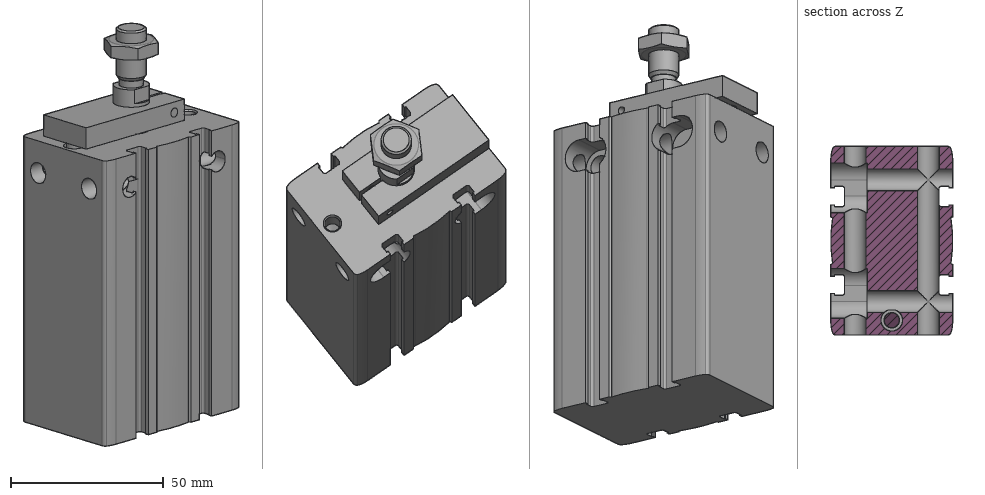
import cadquery as cq
import math

total_height = 133.0
housing_height = 98.0
plate_gap = 2.0
plate_bottom = housing_height + plate_gap

housing_width = 40.0
housing_length = 62.0
half_width = housing_width / 2
half_length = housing_length / 2
end_face_half_width = 18.1
corner_x = 19.4
corner_y = 30.2
flank_end_y = 26.6
panel_half_length = 6.9
panel_bulge = 0.5
groove_width = 0.9
groove_depth = 0.7

slot_y = 14.5
slot_mouth = 5.6
slot_mouth_depth = 1.3
slot_width = 6.6
slot_depth = 4.5
slot_corner_radius = 0.8

mount_drop = 11.0
mount_z = housing_height - mount_drop
mount_hole_diameter = 7.0
mount_x = 12.0
mount_y = 20.0
seat_width = 10.9
seat_stretch = 5.3
seat_depth = 12.0

port_y = 26.1
port_mouth_diameter = 6.0
port_diameter = 5.0
port_depth = 6.6
drill_point_angle = 118.0

plate_width = 20.0
plate_length = 45.1
plate_thickness = 7.3
plate_back_y = 14.6
plate_slit = 1.0
guide_post_diameter = 5.0
guide_post_y = -port_y
guide_depth = 13.3
guide_hole_diameter = 7.0

clamp_screw_y = 10.0
clamp_screw_z = plate_bottom + plate_thickness / 2
clamp_screw_diameter = 3.0
clamp_screw_length = 16.0
clamp_hole_diameter = 2.4

rod_diameter = 12.0
rod_shoulder_z = 113.3
flats_across = 10.0
flats_height = 4.8
neck_diameter = 8.0
thread_bottom_z = 115.7
thread_diameter = 10.0
thread_end_diameter = 8.5
thread_run_in = 1.2
tip_chamfer = 0.5

nut_across_flats = 16.0
nut_thickness = 4.9
nut_top_z = 128.9
nut_face_diameter = 14.6
nut_chamfer_height = 0.5


def side_arc_midpoint(start_y, end_y, drop):
    """Middle of an arc that is tangent to the +X side at start_y and lies drop below it at end_y."""
    run = end_y - start_y
    radius = (run**2 + drop**2) / (2 * drop)
    half_angle = math.asin(run / radius) / 2
    return (
        half_width - radius * (1 - math.cos(half_angle)),
        start_y + radius * math.sin(half_angle),
    )


def housing_block():
    """Extrusion of one quarter of the profile mirrored across X and Y."""
    flank_drop = half_width - corner_x
    flank_midpoint = side_arc_midpoint(flank_end_y, corner_y, flank_drop)
    panel_midpoint = side_arc_midpoint(0, panel_half_length, panel_bulge)
    return (
        cq.Workplane("XY")
        .moveTo(0, half_length)
        .lineTo(end_face_half_width, half_length)
        .tangentArcPoint((corner_x, corner_y), relative=False)
        .threePointArc(flank_midpoint, (half_width, flank_end_y))
        .lineTo(half_width, panel_half_length + groove_width)
        .lineTo(half_width - groove_depth, panel_half_length + groove_width / 2)
        .lineTo(half_width - panel_bulge, panel_half_length)
        .threePointArc(panel_midpoint, (half_width, 0))
        .mirrorX()
        .mirrorY()
        .extrude(housing_height)
    )


def switch_slot(side, y):
    chamber_depth = slot_depth - slot_mouth_depth
    chamber_x = half_width - slot_mouth_depth - chamber_depth / 2
    floor_selector = "|Z and <X" if side > 0 else "|Z and >X"
    chamber = (
        cq.Workplane("XY")
        .center(side * chamber_x, y)
        .rect(chamber_depth, slot_width)
        .extrude(housing_height)
        .edges(floor_selector)
        .fillet(slot_corner_radius)
    )
    mouth_depth = slot_depth - slot_corner_radius
    mouth = (
        cq.Workplane("XY")
        .center(side * half_width, y)
        .rect(2 * mouth_depth, slot_mouth)
        .extrude(housing_height)
    )
    return chamber.union(mouth)


def mounting_holes():
    along_y = (
        cq.Workplane("XZ", origin=(0, half_length, mount_z))
        .pushPoints([(-mount_x, 0), (mount_x, 0)])
        .circle(mount_hole_diameter / 2)
        .extrude(housing_length)
    )
    along_x = (
        cq.Workplane("YZ", origin=(-half_width, 0, mount_z))
        .pushPoints([(-mount_y, 0), (mount_y, 0)])
        .circle(mount_hole_diameter / 2)
        .extrude(housing_width)
    )
    return along_y.union(along_x)


def screw_seats():
    """Elongated pockets that reach from each hole towards the middle."""
    seat_centre = mount_y - seat_stretch / 2
    return (
        cq.Workplane("YZ", origin=(-half_width, 0, mount_z))
        .pushPoints([(-seat_centre, 0), (seat_centre, 0)])
        .slot2D(seat_width + seat_stretch, seat_width)
        .extrude(seat_depth)
    )


def air_port():
    """Drilled hole with a chamfered mouth and a conical bottom."""
    port_radius = port_diameter / 2
    mouth_radius = port_mouth_diameter / 2
    chamfer = mouth_radius - port_radius
    point_depth = port_radius / math.tan(math.radians(drill_point_angle / 2))
    half_section = [
        (0, housing_height),
        (mouth_radius, housing_height),
        (port_radius, housing_height - chamfer),
        (port_radius, housing_height - port_depth),
        (0, housing_height - port_depth - point_depth),
    ]
    return (
        cq.Workplane("XZ")
        .polyline(half_section)
        .close()
        .revolve(360, (0, 0, 0), (0, 1, 0))
        .translate((0, port_y, 0))
    )


def guide_hole():
    return (
        cq.Workplane("XY", origin=(0, guide_post_y, housing_height))
        .circle(guide_hole_diameter / 2)
        .extrude(-guide_depth)
    )


def make_housing():
    body = housing_block()
    for side in (-1, 1):
        for end in (-1, 1):
            body = body.cut(switch_slot(side, end * slot_y))
    return body.cut(mounting_holes()).cut(screw_seats()).cut(air_port()).cut(guide_hole())


def make_rod():
    """Turned rod standing on the housing top, with two wrench flats below the neck."""
    rod_radius = rod_diameter / 2
    neck_radius = neck_diameter / 2
    thread_radius = thread_diameter / 2
    thread_end_radius = thread_end_diameter / 2
    half_section = [
        (0, housing_height),
        (rod_radius, housing_height),
        (rod_radius, rod_shoulder_z),
        (neck_radius, rod_shoulder_z),
        (neck_radius, thread_bottom_z),
        (thread_end_radius, thread_bottom_z),
        (thread_radius, thread_bottom_z + thread_run_in),
        (thread_radius, total_height - tip_chamfer),
        (thread_end_radius, total_height),
        (0, total_height),
    ]
    turned = cq.Workplane("XZ").polyline(half_section).close().revolve(360, (0, 0, 0), (0, 1, 0))
    flats_blank = (
        cq.Workplane("XY", origin=(0, 0, rod_shoulder_z - flats_height))
        .rect(rod_diameter, rod_diameter)
        .rect(flats_across, rod_diameter)
        .extrude(flats_height)
    )
    return turned.cut(flats_blank)


def make_plate():
    """Clamp plate slit from its back edge to the rod hole, with a guide post under its front end."""
    block = (
        cq.Workplane("XY", origin=(0, plate_back_y - plate_length / 2, plate_bottom))
        .rect(plate_width, plate_length)
        .extrude(plate_thickness)
    )
    rod_hole = (
        cq.Workplane("XY", origin=(0, 0, plate_bottom))
        .circle(rod_diameter / 2)
        .extrude(plate_thickness)
    )
    slit = (
        cq.Workplane("XY", origin=(0, plate_back_y / 2, plate_bottom))
        .rect(plate_slit, plate_back_y)
        .extrude(plate_thickness)
    )
    clamp_hole = (
        cq.Workplane("YZ", origin=(-plate_width / 2, clamp_screw_y, clamp_screw_z))
        .circle(clamp_hole_diameter / 2)
        .extrude(plate_width)
    )
    guide_post = (
        cq.Workplane("XY", origin=(0, guide_post_y, plate_bottom))
        .circle(guide_post_diameter / 2)
        .extrude(-plate_gap - guide_depth)
    )
    plate_blank = block.union(guide_post)
    return plate_blank.cut(rod_hole).cut(slit).cut(clamp_hole).cut(make_clamp_screw())


def make_clamp_screw():
    return (
        cq.Workplane("YZ", origin=(plate_width / 2, clamp_screw_y, clamp_screw_z))
        .circle(clamp_screw_diameter / 2)
        .extrude(-clamp_screw_length)
    )


def make_nut():
    """Hexagon with two corners on the Y axis, chamfered on both faces."""
    corner_distance = nut_across_flats / math.sqrt(3)
    face_radius = nut_face_diameter / 2
    bottom_z = nut_top_z - nut_thickness
    hexagon = (
        cq.Workplane("XY", origin=(0, 0, bottom_z))
        .polygon(6, 2 * corner_distance)
        .extrude(nut_thickness)
        .rotate((0, 0, 0), (0, 0, 1), 90)
    )
    half_section = [
        (thread_diameter / 2, bottom_z),
        (face_radius, bottom_z),
        (corner_distance, bottom_z + nut_chamfer_height),
        (corner_distance, nut_top_z - nut_chamfer_height),
        (face_radius, nut_top_z),
        (thread_diameter / 2, nut_top_z),
    ]
    turned_ring = cq.Workplane("XZ").polyline(half_section).close().revolve(360, (0, 0, 0), (0, 1, 0))
    return hexagon.intersect(turned_ring)


housing = make_housing()
rod = make_rod()
plate = make_plate()
clamp_screw = make_clamp_screw()
nut = make_nut()

result = cq.Compound.makeCompound(
    [housing.val(), rod.val(), plate.val(), clamp_screw.val(), nut.val()]
)